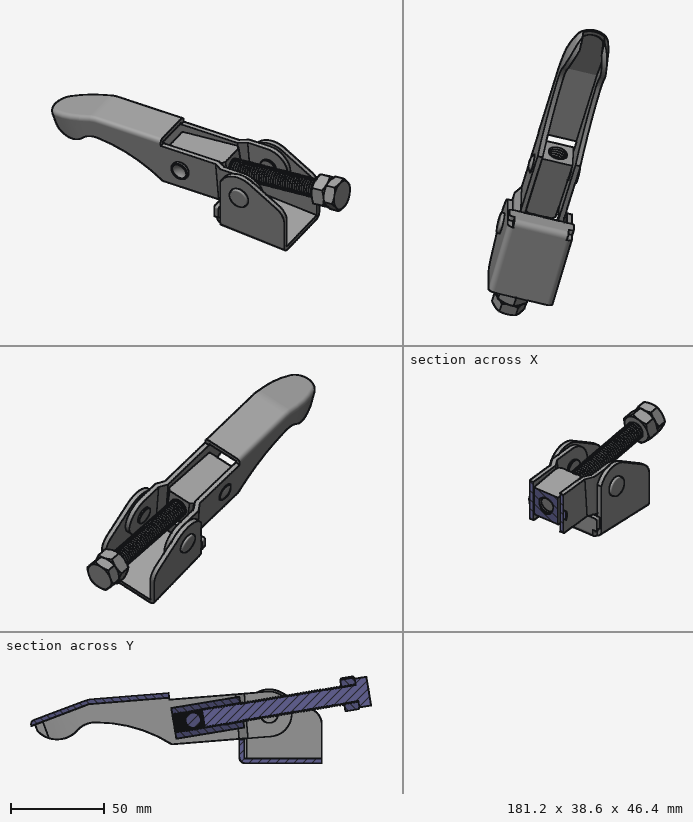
import cadquery as cq
import math

sheet = 2.7
bend_radius = 3.3

base_half_width = 17.7
base_back = -12.1
base_front = 28.0
base_bottom = -26.3
ear_radius = 13.2
ear_slope = 28.8
ear_corner_radius = 9.0
plate_back = -16.0
plate_top = -13.4
plate_ear_bottom = -21.0
plate_corner_radius = 1.3
foot_half_width = 14.9

handle_tilt = 4.6
handle_half_width = 11.8
arm_half_height = 12.0
web_top = 15.5
web_end = -52.3
grip_bend_x = -95.3
grip_slope = 16.0
grip_length = 33.5
grip_bend_radius = 14.5
web_edge_radius = 2.5
tip_radius = 9.2
tip_side_length = 24.3
spread_start = -17.7
spread_end = -13.0
spread_radius = 2.7
ear_gap = 0.5
skirt_opening = 12.0
skirt_front_x = -125.5
hook_middle = (-117.4, -3.6)
hook_end = (-102.9, -0.9)
neck_middle = (-97.6, 2.4)
neck_top = (-92.2, 2.9)
belly_middle = (-71.7, -1.6)
belly_end_x = -52.9

pivot_head_radius = 5.6
pivot_head_height = 1.6
pivot_head_rounding = 0.7
pivot_shank_radius = 4.7
pivot_tail_height = 1.0
pin_x = -40.5
pin_shank_radius = 4.2
pin_head_radius = 5.0
pin_head_height = 1.8
pin_flange_height = 1.6
pin_dimple_radius = 4.3
pin_dimple_depth = 2.2

latch_tilt = 9.4
latch_y = 0.4
block_width = 16.7
block_corner_chamfer = 1.6
block_back = -10.5
block_front = 26.3
thread_radius = 5.0
thread_depth = 0.81
thread_pitch = 1.5
bolt_start = 5.5
nut_start = 80.6
head_start = 88.2
head_end = 94.7
nut_flats = 16.1
head_flats = 15.5
nut_turn = 40.0
hex_chamfer_slope = 30.0

ear_inner = base_half_width - sheet
arm_outer = ear_inner - ear_gap


def slope_ratio(angle):
    return math.tan(math.radians(angle))


def side_prism(sketch, half_width):
    return sketch.extrude(half_width, both=True)


def make_base():
    base = make_channel().union(make_rear_plate())
    return base.cut(side_prism(cq.Workplane("XZ").circle(pivot_shank_radius), base_half_width))


def make_channel():
    """Floor with the two ears."""
    length = base_front - base_back
    height = ear_radius - base_bottom
    channel = (
        cq.Workplane("XY", origin=(base_back, 0, base_bottom))
        .box(length, 2 * base_half_width, height, centered=(False, True, False))
        .edges("|X and <Z")
        .fillet(bend_radius)
    )
    hollow = cq.Workplane("XY", origin=(base_back, 0, base_bottom + sheet)).box(
        length, 2 * ear_inner, height, centered=(False, True, False)
    )
    return channel.cut(hollow).intersect(ear_outline())


def make_rear_plate():
    """Upright plate bent up from the floor, narrower at its foot than at its top."""
    bent_strip = side_prism(
        cq.Workplane("XZ")
        .moveTo(base_back, base_bottom)
        .lineTo(plate_back + bend_radius, base_bottom)
        .radiusArc((plate_back, base_bottom + bend_radius), bend_radius)
        .lineTo(plate_back, plate_top)
        .lineTo(plate_back + sheet, plate_top)
        .lineTo(plate_back + sheet, base_bottom + sheet)
        .lineTo(base_back, base_bottom + sheet)
        .close(),
        base_half_width,
    )
    foot = cq.Workplane("XY", origin=(plate_back, 0, base_bottom)).box(
        base_back - plate_back, 2 * foot_half_width, plate_top - base_bottom, centered=(False, True, False)
    )
    head = (
        cq.Workplane("XY", origin=(plate_back, 0, plate_ear_bottom))
        .box(sheet, 2 * base_half_width, plate_top - plate_ear_bottom, centered=(False, True, False))
        .edges("|X")
        .fillet(plate_corner_radius)
    )
    return bent_strip.intersect(foot.union(head))


def ear_outline():
    slope = math.radians(ear_slope)
    normal_x = math.sin(slope)
    normal_z = math.cos(slope)
    corner_x = base_front - ear_corner_radius
    corner_z = (ear_radius - ear_corner_radius - corner_x * normal_x) / normal_z
    back_z = math.sqrt(ear_radius**2 - base_back**2)
    outline = (
        cq.Workplane("XZ")
        .moveTo(base_back, base_bottom)
        .lineTo(base_back, back_z)
        .threePointArc((0, ear_radius), (ear_radius * normal_x, ear_radius * normal_z))
        .lineTo(corner_x + ear_corner_radius * normal_x, corner_z + ear_corner_radius * normal_z)
        .radiusArc((base_front, corner_z), ear_corner_radius)
        .lineTo(base_front, base_bottom)
        .close()
    )
    return side_prism(outline, base_half_width)


def grip_web_z(x, depth):
    """Height of the sloping grip web at x, at a depth below its top face."""
    face_z = web_top - (grip_bend_x - x) * slope_ratio(grip_slope)
    return face_z - depth / math.cos(math.radians(grip_slope))


def nose_prism(inset):
    """Upright prism over the rounded grip plan, square to the grip web, drawn in by an inset."""
    half_width = handle_half_width
    run = tip_side_length - tip_radius
    side_radius = (run**2 + half_width**2 - tip_radius**2) / (2 * (half_width - tip_radius))
    side_x = -grip_length + tip_side_length
    tip_x = -grip_length + tip_radius
    reach = side_radius - tip_radius
    meet_x = tip_x - (tip_radius - inset) * run / reach
    meet_y = (tip_radius - inset) * (side_radius - half_width) / reach
    slope = math.radians(grip_slope)
    plane = cq.Plane(
        origin=(grip_bend_x, 0, web_top),
        xDir=(math.cos(slope), 0, math.sin(slope)),
        normal=(-math.sin(slope), 0, math.cos(slope)),
    )
    side_y = half_width - inset
    far_x = grip_length * 2
    return (
        cq.Workplane(plane)
        .moveTo(far_x, -side_y)
        .lineTo(side_x, -side_y)
        .radiusArc((meet_x, -meet_y), side_radius - inset)
        .threePointArc((-grip_length + inset, 0), (meet_x, meet_y))
        .radiusArc((side_x, side_y), side_radius - inset)
        .lineTo(far_x, side_y)
        .close()
        .extrude(grip_length * 2, both=True)
    )


def make_grip():
    far_x = grip_bend_x - grip_length
    outer_profile = (
        cq.Workplane("XZ")
        .moveTo(web_end, web_top)
        .lineTo(grip_bend_x, web_top)
        .lineTo(far_x, grip_web_z(far_x, 0))
        .lineTo(far_x, grip_web_z(far_x, sheet))
        .lineTo(skirt_front_x, grip_web_z(skirt_front_x, sheet))
        .threePointArc(hook_middle, hook_end)
        .threePointArc(neck_middle, neck_top)
        .threePointArc(belly_middle, (belly_end_x, -arm_half_height))
        .lineTo(web_end, -arm_half_height)
        .close()
    )
    outer = side_prism(outer_profile, handle_half_width)
    bend_edge = cq.selectors.NearestToPointSelector((grip_bend_x, 0, web_top))
    outer = outer.edges(bend_edge).fillet(grip_bend_radius).intersect(nose_prism(0))
    web_middle_x = (web_end + grip_bend_x) / 2
    side_edge = cq.selectors.NearestToPointSelector((web_middle_x, handle_half_width, web_top))
    outer = outer.edges(side_edge).fillet(web_edge_radius)

    low = -2 * arm_half_height
    inner_profile = (
        cq.Workplane("XZ")
        .moveTo(0, web_top - sheet)
        .lineTo(grip_bend_x, web_top - sheet)
        .lineTo(far_x, grip_web_z(far_x, sheet))
        .lineTo(far_x, low)
        .lineTo(0, low)
        .close()
    )
    inner = side_prism(inner_profile, handle_half_width - sheet).intersect(nose_prism(sheet))
    opening = side_prism(
        cq.Workplane("XZ")
        .moveTo(far_x, grip_web_z(far_x, sheet))
        .lineTo(grip_bend_x, grip_web_z(grip_bend_x, sheet))
        .lineTo(grip_bend_x, low)
        .lineTo(far_x, low)
        .close(),
        skirt_opening / 2,
    )
    return outer.cut(inner).cut(opening)


def make_arm():
    """The arm on the +Y side, from the end of the web to the pivot."""
    angle = math.atan2(arm_outer - handle_half_width, spread_end - spread_start)
    shift = sheet * math.tan(angle / 2)
    far_x = arm_half_height
    plan = (
        cq.Workplane("XY")
        .moveTo(web_end, handle_half_width)
        .lineTo(spread_start, handle_half_width)
        .lineTo(spread_end, arm_outer)
        .lineTo(far_x, arm_outer)
        .lineTo(far_x, arm_outer - sheet)
        .lineTo(spread_end + shift, arm_outer - sheet)
        .lineTo(spread_start + shift, handle_half_width - sheet)
        .lineTo(web_end, handle_half_width - sheet)
        .close()
        .extrude(arm_half_height, both=True)
    )
    bend_edge = cq.selectors.NearestToPointSelector((spread_end, arm_outer, 0))
    plan = plan.edges(bend_edge).fillet(spread_radius)
    outline = side_prism(
        cq.Workplane("XZ")
        .moveTo(web_end, arm_half_height)
        .lineTo(0, arm_half_height)
        .threePointArc((arm_half_height, 0), (0, -arm_half_height))
        .lineTo(web_end, -arm_half_height)
        .close(),
        base_half_width,
    )
    return plan.intersect(outline)


def make_handle():
    arm = make_arm()
    handle = make_grip().union(arm).union(arm.mirror("XZ"))
    pivot_hole = side_prism(cq.Workplane("XZ").circle(pivot_shank_radius), base_half_width)
    pin_hole = side_prism(cq.Workplane("XZ").center(pin_x, 0).circle(pin_shank_radius), base_half_width)
    return tilted(handle.cut(pivot_hole).cut(pin_hole))


def tilted(body):
    return body.rotate((0, 0, 0), (0, 1, 0), -handle_tilt)


def make_pivot_rivet(side):
    """Rivet through ear and arm; side is +1 or -1 along Y."""
    tail_y = arm_outer - sheet - pivot_tail_height
    rivet = (
        cq.Workplane("XZ", origin=(0, base_half_width, 0))
        .circle(pivot_shank_radius)
        .extrude(base_half_width - tail_y)
        .faces(">Y")
        .workplane()
        .circle(pivot_head_radius)
        .extrude(pivot_head_height)
        .faces(">Y")
        .edges()
        .fillet(pivot_head_rounding)
    )
    return rivet if side > 0 else rivet.mirror("XZ")


def cap_radius(rim_radius, height):
    """Sphere radius of a cap from its rim radius and height."""
    return (rim_radius**2 + height**2) / (2 * height)


def make_pin():
    """Latch pin with a domed head at +Y and a hollow flange at -Y."""
    dome_y = handle_half_width + pin_head_height
    flange_y = -handle_half_width - pin_flange_height
    dome_radius = cap_radius(pin_head_radius, pin_head_height)
    dimple_radius = cap_radius(pin_dimple_radius, pin_dimple_depth)
    profile = (
        cq.Workplane("XY")
        .moveTo(0, dome_y)
        .radiusArc((pin_head_radius, handle_half_width), dome_radius)
        .lineTo(pin_shank_radius, handle_half_width)
        .lineTo(pin_shank_radius, -handle_half_width)
        .lineTo(pin_head_radius, -handle_half_width)
        .lineTo(pin_head_radius, flange_y)
        .lineTo(pin_dimple_radius, flange_y)
        .radiusArc((0, flange_y + pin_dimple_depth), -dimple_radius)
        .close()
    )
    return tilted(profile.revolve(360, (0, 0, 0), (0, 1, 0)).translate((pin_x, 0, 0)))


def placed_on_latch(body):
    tilt = math.radians(handle_tilt)
    pin_place = (pin_x * math.cos(tilt), latch_y, pin_x * math.sin(tilt))
    return body.rotate((0, 0, 0), (0, 1, 0), -latch_tilt).translate(pin_place)


def threaded_rod(start, end):
    """Rod along X with V-shaped ring grooves for the thread."""
    root = thread_radius - thread_depth
    count = math.floor((end - start) / thread_pitch)
    points = [(start, 0), (start, root)]
    for turn in range(count):
        left = start + turn * thread_pitch
        points.append((left + thread_pitch / 2, thread_radius))
        points.append((left + thread_pitch, root))
    points += [(end, root), (end, 0)]
    return cq.Workplane("XY").polyline(points).close().revolve(360, (0, 0, 0), (1, 0, 0))


def hexagon(start, end, flats, turn):
    """Hexagon along X with both ends chamfered; turn is a corner's angle from -Y towards +Z."""
    face_radius = flats / 2
    corner_radius = flats / math.sqrt(3)
    body = cq.Workplane("YZ", origin=(start, 0, 0)).polygon(6, 2 * corner_radius).extrude(end - start)
    body = body.rotate((0, 0, 0), (1, 0, 0), -turn)
    chamfer = (corner_radius - face_radius) * slope_ratio(hex_chamfer_slope)
    turned = (
        cq.Workplane("XY")
        .moveTo(start, 0)
        .lineTo(start, face_radius)
        .lineTo(start + chamfer, corner_radius)
        .lineTo(end - chamfer, corner_radius)
        .lineTo(end, face_radius)
        .lineTo(end, 0)
        .close()
        .revolve(360, (0, 0, 0), (1, 0, 0))
    )
    return body.intersect(turned)


def make_block():
    """Square block on the pin, tapped from end to end."""
    block = (
        cq.Workplane("XY", origin=(block_back, 0, 0))
        .box(block_front - block_back, block_width, block_width, centered=(False, True, True))
        .edges("|Z and >X")
        .chamfer(block_corner_chamfer)
    )
    turns_behind_bolt = math.ceil((bolt_start - block_back) / thread_pitch)
    tapped = threaded_rod(bolt_start - turns_behind_bolt * thread_pitch, block_front + thread_pitch)
    pin_hole = side_prism(cq.Workplane("XZ").circle(pin_shank_radius), block_width)
    return placed_on_latch(block.cut(tapped).cut(pin_hole))


def make_bolt():
    head = hexagon(head_start, head_end, head_flats, 0)
    return placed_on_latch(threaded_rod(bolt_start, head_start).union(head))


def make_nut():
    bore = threaded_rod(bolt_start, head_start)
    return placed_on_latch(hexagon(nut_start, head_start, nut_flats, nut_turn).cut(bore))


base = make_base()
handle = make_handle()
pivot_rivets = [make_pivot_rivet(side) for side in (1, -1)]
pin = make_pin()
block = make_block()
bolt = make_bolt()
nut = make_nut()

result = cq.Compound.makeCompound([
    base.solids().val(),
    handle.solids().val(),
    *[rivet.solids().val() for rivet in pivot_rivets],
    pin.solids().val(),
    block.solids().val(),
    bolt.solids().val(),
    nut.solids().val(),
])